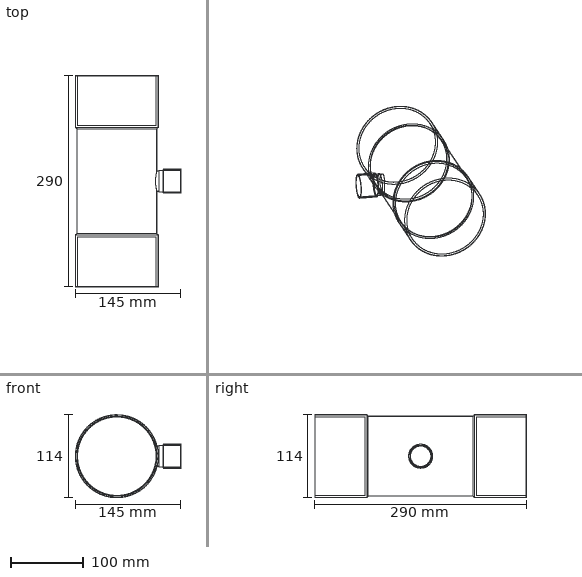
import cadquery as cq

total_length = 290.0
body_diameter = 110.0
socket_diameter = 114.0
socket_bore_diameter = 108.0
socket_straight_length = 71.0
socket_bore_depth = 68.5
socket_bevel = (socket_diameter - body_diameter) / 2

neck_diameter = 28.0
collar_diameter = 30.0
branch_diameter = 33.0
branch_bore_diameter = 29.5
collar_start = 57.7
collar_end = 63.2
branch_start = 64.0
total_width = 145.0
branch_end = total_width - socket_diameter / 2
branch_bore_depth = branch_end - branch_start


def make_body():
    """Revolve the stepped body profile, with bevelled socket shoulders, about Y."""
    half_length = total_length / 2
    shoulder = half_length - socket_straight_length
    bevel_end = shoulder - socket_bevel
    body_radius = body_diameter / 2
    socket_radius = socket_diameter / 2
    profile = [
        (0, -half_length),
        (socket_radius, -half_length),
        (socket_radius, -shoulder),
        (body_radius, -bevel_end),
        (body_radius, bevel_end),
        (socket_radius, shoulder),
        (socket_radius, half_length),
        (0, half_length),
    ]
    return cq.Workplane("XY").polyline(profile).close().revolve(360, (0, 0), (0, 1))


def make_branch():
    """Revolve the neck, collar and branch socket about X, starting on the body axis."""
    profile = [
        (0, 0),
        (0, neck_diameter / 2),
        (collar_start, neck_diameter / 2),
        (collar_start, collar_diameter / 2),
        (collar_end, collar_diameter / 2),
        (branch_start, branch_diameter / 2),
        (branch_end, branch_diameter / 2),
        (branch_end, 0),
    ]
    return cq.Workplane("XY").polyline(profile).close().revolve(360, (0, 0), (1, 0))


def make_socket_bores():
    """Blind bores entering the body from both ends."""
    floor = total_length / 2 - socket_bore_depth
    bore_start = cq.Workplane("XZ", origin=(0, -floor, 0))
    bore = bore_start.circle(socket_bore_diameter / 2).extrude(socket_bore_depth)
    return bore.union(bore.mirror("XZ"))


def make_branch_bore():
    """Blind bore entering the branch from its open end."""
    floor = branch_end - branch_bore_depth
    return cq.Workplane("YZ", origin=(floor, 0, 0)).circle(branch_bore_diameter / 2).extrude(branch_bore_depth)


result = make_body().union(make_branch()).cut(make_socket_bores()).cut(make_branch_bore())